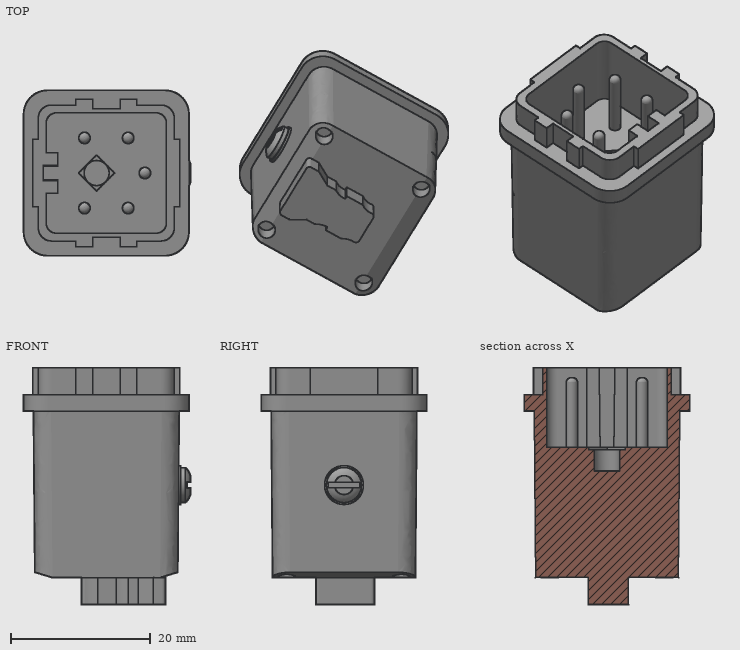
import cadquery as cq
import math

total_height = 33.9
flange_top = 30.05
flange_bottom = 27.65
body_bottom = 3.85
cavity_floor = 22.5

flange_width = 23.7
overall_length = 23.9

flange_half = flange_width / 2
flange_radius = 3.45
body_half_top = 10.45
body_half_bottom = 10.25
body_radius = 2.55
collar_half = 9.73
collar_radius = 1.9
cavity_half = 8.6
cavity_radius = 1.5

bevel_width = 2.45
bevel_height = 0.75

rib_reach = 10.55
side_rib_half_width = 4.8
notch_half_width = 1.95
rib_outer_edge = 4.35
notch_face = 9.22

key_face = -6.95
key_half_width = 2.88
key_slot_half_width_top = 1.12
key_slot_half_width_bottom = 1.0
key_slot_end = -9.05

pin_radius = 0.8
pin_tip = 32.45
pin_dome = 0.6
pin_dome_bulge = 0.17
pin_tip_radius = 0.15
pin_column_x = 3.12
pin_column_y = 5.02
single_pin_x = 5.53

socket_x = -1.4
socket_half_diagonal = 2.58
socket_depth = 0.35
socket_hole_radius = 1.8
socket_hole_depth = 3.4

screw_z = 17.1
washer_radius = 2.78
washer_face = 10.68
washer_embed = 0.35
head_radius = 2.5
head_rim = 11.32
head_tip = overall_length - flange_half
head_flat_radius = 1.35
head_bulge = 0.1
screw_slot_width = 0.8
screw_slot_floor = 11.55

corner_hole_x = 8.05
corner_hole_y = 8.2
corner_hole_radius = 1.22
corner_hole_depth = 3.4

block_mid_y = 0.185
block_left = -3.55
block_right = 8.48
block_half_width = 4.2
block_waist = 3.0
block_left_waist = 2.5
block_left_fillet = 0.55
block_right_fillet = 0.5
groove_width = 1.75
first_groove_end = -1.25
second_groove_start = 1.4
groove_sag = 0.17
slope_start = 4.58
slope_angle = 30.0


def rounded_square(half, radius, bottom, top):
    """Upright block with a rounded square outline centred on the Z axis."""
    side = 2 * half
    block = cq.Workplane("XY").workplane(offset=bottom).rect(side, side).extrude(top - bottom)
    return block.edges("|Z").fillet(radius)


def box(x_range, y_range, z_range):
    """Box between the given limits."""
    sizes = [high - low for low, high in (x_range, y_range, z_range)]
    corner = (x_range[0], y_range[0], z_range[0])
    return cq.Workplane("XY").box(*sizes, centered=False).translate(corner)


def make_body():
    """Solid body, slightly narrower at the bottom, with two beveled lower edges."""
    top_outline = cq.Sketch().rect(2 * body_half_top, 2 * body_half_top).vertices().fillet(body_radius)
    bottom_outline = cq.Sketch().rect(2 * body_half_bottom, 2 * body_half_bottom).vertices().fillet(body_radius)
    rise = cq.Location(cq.Vector(0, 0, flange_bottom - body_bottom))
    body = (
        cq.Workplane("XY")
        .workplane(offset=body_bottom)
        .placeSketch(bottom_outline, top_outline.moved(rise))
        .loft(ruled=True)
    )
    for side in (-1, 1):
        edge = side * body_half_bottom
        inner = edge - side * bevel_width
        outer = edge + side * bevel_width
        bevel = (
            cq.Workplane("XZ")
            .moveTo(inner, body_bottom)
            .lineTo(outer, body_bottom)
            .lineTo(outer, body_bottom + 2 * bevel_height)
            .close()
            .extrude(body_half_top, both=True)
        )
        body = body.cut(bevel)
    return body


def make_collar():
    """Upper collar with its locating ribs and the notches between them."""
    heights = (flange_top, total_height)
    collar = rounded_square(collar_half, collar_radius, *heights)
    collar = collar.union(box((-rib_reach, rib_reach), (-side_rib_half_width, side_rib_half_width), heights))
    collar = collar.union(box((-rib_outer_edge, rib_outer_edge), (-rib_reach, rib_reach), heights))
    notch_range = (-notch_half_width, notch_half_width)
    collar = collar.cut(box(notch_range, (notch_face, rib_reach), heights))
    return collar.cut(box(notch_range, (-rib_reach, -notch_face), heights))


def cavity_key_block():
    """Key standing on the -X wall of the cavity."""
    return box((-cavity_half, key_face), (-key_half_width, key_half_width), (cavity_floor, total_height))


def key_slot():
    """Slot through the key and partly into the wall behind it, narrower toward the floor."""
    return (
        cq.Workplane("YZ")
        .workplane(offset=key_slot_end)
        .moveTo(-key_slot_half_width_bottom, cavity_floor)
        .lineTo(key_slot_half_width_bottom, cavity_floor)
        .lineTo(key_slot_half_width_top, total_height)
        .lineTo(-key_slot_half_width_top, total_height)
        .close()
        .extrude(key_face - key_slot_end)
    )


def make_pins():
    """Five round pins with domed tips."""
    points = [(x, y) for x in (-pin_column_x, pin_column_x) for y in (-pin_column_y, pin_column_y)]
    points.append((single_pin_x, 0))
    shoulder = pin_tip - pin_dome
    pin = (
        cq.Workplane("XZ")
        .moveTo(0, cavity_floor)
        .lineTo(pin_radius, cavity_floor)
        .lineTo(pin_radius, shoulder)
        .sagittaArc((pin_tip_radius, pin_tip), -pin_dome_bulge)
        .lineTo(0, pin_tip)
        .close()
        .revolve(360, (0, 0, 0), (0, 1, 0))
    )
    pins = cq.Workplane("XY")
    for x, y in points:
        pins = pins.add(pin.translate((x, y, 0)))
    return pins.combine()


def make_socket():
    """Shallow square recess standing on its corner, with a round hole inside it."""
    floor = cq.Workplane("XY").workplane(offset=cavity_floor).center(socket_x, 0)
    square = floor.polygon(4, 2 * socket_half_diagonal).extrude(-socket_depth)
    return square.union(floor.circle(socket_hole_radius).extrude(-socket_hole_depth))


def make_screw():
    """Slotted pan head screw with a washer, its axis along X."""
    seat = body_half_bottom - washer_embed
    screw = (
        cq.Workplane("XY")
        .moveTo(seat, 0)
        .lineTo(seat, washer_radius)
        .lineTo(washer_face, washer_radius)
        .lineTo(washer_face, head_radius)
        .lineTo(head_rim, head_radius)
        .sagittaArc((head_tip, head_flat_radius), head_bulge)
        .lineTo(head_tip, 0)
        .close()
        .revolve(360, (0, 0, 0), (1, 0, 0))
    )
    half_slot = screw_slot_width / 2
    slot = box((screw_slot_floor, head_tip), (-head_radius, head_radius), (-half_slot, half_slot))
    return screw.cut(slot).translate((0, 0, screw_z))


def corner_holes():
    """Blind holes near the corners of the lower face."""
    return (
        cq.Workplane("XY")
        .workplane(offset=body_bottom)
        .rect(2 * corner_hole_x, 2 * corner_hole_y, forConstruction=True)
        .vertices()
        .circle(corner_hole_radius)
        .extrude(corner_hole_depth)
    )


def half_lower_block():
    """One half of the lower block: waisted flank with two grooves and a wide end."""
    first_start = first_groove_end - groove_width
    second_end = second_groove_start + groove_width
    slope_end = slope_start + (block_half_width - block_waist) / math.tan(math.radians(slope_angle))
    fillet_turn = math.sqrt(0.5)
    left_turn = (
        block_left + block_left_fillet * (1 - fillet_turn),
        block_left_waist - block_left_fillet * (1 - fillet_turn),
    )
    right_turn = (
        block_right - block_right_fillet * (1 - fillet_turn),
        block_half_width - block_right_fillet * (1 - fillet_turn),
    )
    outline = (
        cq.Workplane("XY")
        .moveTo(block_left, 0)
        .lineTo(block_left, block_left_waist - block_left_fillet)
        .threePointArc(left_turn, (first_start, block_left_waist))
        .sagittaArc((first_groove_end, block_waist), -groove_sag)
        .lineTo(second_groove_start, block_waist)
        .lineTo(second_groove_start, block_left_waist)
        .sagittaArc((second_end, block_waist), -groove_sag)
        .lineTo(slope_start, block_waist)
        .lineTo(slope_end, block_half_width)
        .lineTo(block_right - block_right_fillet, block_half_width)
        .threePointArc(right_turn, (block_right, block_half_width - block_right_fillet))
        .lineTo(block_right, 0)
        .close()
    )
    return outline.extrude(body_bottom)


def make_lower_block():
    """Both halves of the lower block."""
    half = half_lower_block()
    return half.union(half.mirror("XZ")).translate((0, block_mid_y, 0))


cavity = rounded_square(cavity_half, cavity_radius, cavity_floor, total_height)
cavity = cavity.cut(cavity_key_block()).union(key_slot())

result = (
    make_body()
    .union(rounded_square(flange_half, flange_radius, flange_bottom, flange_top))
    .union(make_collar())
    .cut(cavity)
    .union(make_pins())
    .cut(make_socket())
    .cut(corner_holes())
    .union(make_screw())
    .union(make_lower_block())
)